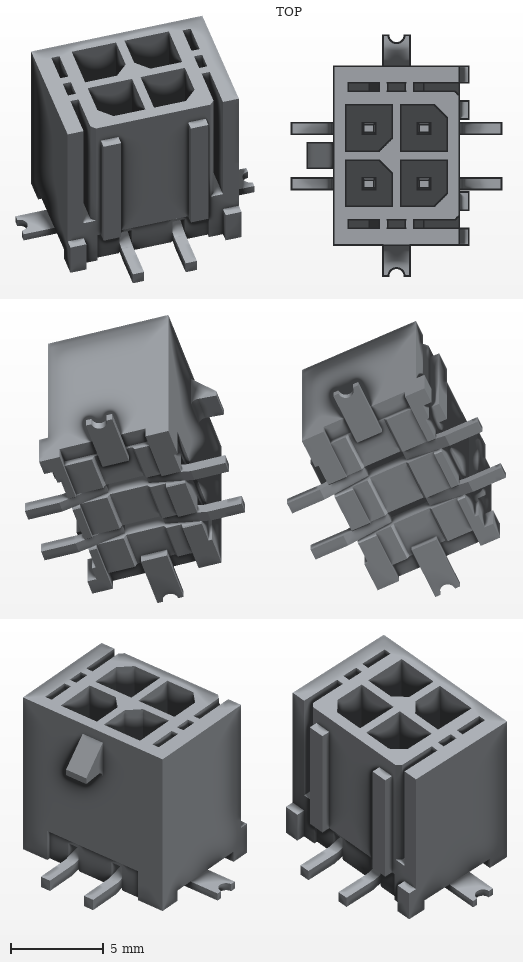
import cadquery as cq
import math


HOUSING_X = 6.83
HOUSING_Y = 9.71
HOUSING_Z = 9.9
FLOOR_Z = 3.0

PITCH = 3.0
POCKET_SIDE = 2.51
POCKET_CHAMFER = 0.71

SLOT_INNER_Y = 3.5
SLOT_WIDTH = 0.46
SLOT_OUTER_Y = SLOT_INNER_Y + SLOT_WIDTH
SIDE_SLOT_START = -2.62
SIDE_SLOT_END = -0.94
MIDDLE_SLOT_LENGTH = 0.95
OPEN_SLOT_START = -SIDE_SLOT_END
CORE_CHAMFER = 0.25

RECESS_WIDTH = 6.31
RECESS_HEIGHT = 1.88
RECESS_DEPTH = 0.21
PAD_REACH = 0.51
PAD_WIDTH = HOUSING_Y / 2 - SLOT_OUTER_Y
RIB_INNER_Y = 1.98
RIB_OUTER_Y = 2.97
RIB_TOP_Z = 8.91

NOTCH_START_X = -2.12
NOTCH_END_X = 2.76
NOTCH_HEIGHT = 0.67
CAVITY_HEIGHT = 0.27
CHANNEL_TOP_Z = 0.5
CHANNEL_TOP_WIDTH = 2.15
CHANNEL_MOUTH_WIDTH = 2.43
TUNNEL_WIDTH = 0.71
TUNNEL_HEIGHT = 1.52
TUNNEL_CHAMFER = 0.07

LATCH_WIDTH = 1.4
LATCH_REACH = 1.44
LATCH_TOP_Z = 9.25
LATCH_NOSE_TOP_Z = 7.67
LATCH_NOSE_BOTTOM_Z = 7.3
LATCH_ROOT_Z = 7.4
LATCH_FILLET = 0.37

PIN_WIDTH = 0.64
POST_THICKNESS = 0.72
TAIL_THICKNESS = 0.67
PIN_SHIFT_Y = -(TUNNEL_WIDTH - PIN_WIDTH) / 2
TAIL_SPAN_X = 11.4
TAIL_END_X = TAIL_SPAN_X / 2
RAMP_TOP_START_X = 3.55
RAMP_BOTTOM_START_X = 3.75
RAMP_ANGLE = 14.5
PIN_TOP_Z = 7.33
TIP_HEIGHT = 0.59
TIP_INSET_X = 0.09
TIP_INSET_Y = 0.12

NAIL_THICKNESS = SLOT_WIDTH
NAIL_FOOT_WIDTH = 1.49
NAIL_END_Y = 6.55
NAIL_HOLE_RADIUS = 0.43
NAIL_PLATE_WIDTH = 2.98
NAIL_NECK_TOP_Z = 1.52
NAIL_TAPER = (NAIL_PLATE_WIDTH - NAIL_FOOT_WIDTH) / 2


def block(x0, x1, y0, y1, z0, z1):
    """Axis-aligned block between two opposite corners."""
    return cq.Workplane("XY").box(x1 - x0, y1 - y0, z1 - z0, centered=False).translate((x0, y0, z0))


def mirrored_y(shape):
    """The shape together with its mirror image across the XZ plane."""
    return shape.union(shape.mirror("XZ"))


def pocket(side_x, side_y):
    """Contact pocket keyed at one +X corner: inward in the left column, outward in the right."""
    half = POCKET_SIDE / 2
    key_y = side_x * side_y
    outline = [
        (-half, -half * key_y),
        (half, -half * key_y),
        (half, (half - POCKET_CHAMFER) * key_y),
        (half - POCKET_CHAMFER, half * key_y),
        (-half, half * key_y),
    ]
    return (
        cq.Workplane("XY")
        .polyline(outline)
        .close()
        .extrude(HOUSING_Z - FLOOR_Z)
        .translate((side_x * PITCH / 2, side_y * PITCH / 2, FLOOR_Z))
    )


def wall_slots():
    """Three slots on the +Y side, the last one open to the +X face beside a chamfered corner."""
    face_x = HOUSING_X / 2
    spans = [
        (SIDE_SLOT_START, SIDE_SLOT_END),
        (-MIDDLE_SLOT_LENGTH / 2, MIDDLE_SLOT_LENGTH / 2),
        (OPEN_SLOT_START, face_x),
    ]
    slots = (
        cq.Workplane("XY")
        .workplane(offset=FLOOR_Z)
        .moveTo(face_x, SLOT_INNER_Y)
        .lineTo(face_x - CORE_CHAMFER, SLOT_INNER_Y)
        .lineTo(face_x, SLOT_INNER_Y - CORE_CHAMFER)
        .close()
        .extrude(HOUSING_Z - FLOOR_Z)
    )
    for x0, x1 in spans:
        slots = slots.union(block(x0, x1, SLOT_INNER_Y, SLOT_OUTER_Y, FLOOR_Z, HOUSING_Z))
    return slots


def pads_and_ribs():
    """Foot pad and guide rib on the +Y half of the +X face."""
    x0 = HOUSING_X / 2
    x1 = x0 + PAD_REACH
    pad = block(x0, x1, HOUSING_Y / 2 - PAD_WIDTH, HOUSING_Y / 2, 0, RECESS_HEIGHT)
    rib = block(x0, x1, RIB_INNER_Y, RIB_OUTER_Y, RECESS_HEIGHT, RIB_TOP_Z)
    return pad.union(rib)


def latch():
    """Ramped latch on the -X face, with a concave fillet under its root."""
    face_x = -HOUSING_X / 2
    nose_x = face_x - LATCH_REACH
    diagonal = LATCH_FILLET * (1 - math.sqrt(0.5))
    return (
        cq.Workplane("XZ")
        .moveTo(face_x, LATCH_TOP_Z)
        .lineTo(nose_x, LATCH_NOSE_TOP_Z)
        .lineTo(nose_x, LATCH_NOSE_BOTTOM_Z)
        .lineTo(face_x - LATCH_FILLET, LATCH_ROOT_Z)
        .threePointArc(
            (face_x - diagonal, LATCH_ROOT_Z - diagonal),
            (face_x, LATCH_ROOT_Z - LATCH_FILLET),
        )
        .close()
        .extrude(LATCH_WIDTH / 2, both=True)
    )


def underside_cavity():
    """Shallow cavity along Y with a raised trapezoidal channel in its middle."""
    return (
        cq.Workplane("XZ")
        .polyline([
            (NOTCH_START_X, 0),
            (NOTCH_START_X, CAVITY_HEIGHT),
            (-CHANNEL_MOUTH_WIDTH / 2, CAVITY_HEIGHT),
            (-CHANNEL_TOP_WIDTH / 2, CHANNEL_TOP_Z),
            (CHANNEL_TOP_WIDTH / 2, CHANNEL_TOP_Z),
            (CHANNEL_MOUTH_WIDTH / 2, CAVITY_HEIGHT),
            (NOTCH_END_X, CAVITY_HEIGHT),
            (NOTCH_END_X, 0),
        ])
        .close()
        .extrude(HOUSING_Y / 2, both=True)
    )


def contact_tunnel():
    """Tunnel along X for one row of contact tails, chamfered at its open bottom edges."""
    half = TUNNEL_WIDTH / 2
    return (
        cq.Workplane("YZ")
        .polyline([
            (-half - TUNNEL_CHAMFER, 0),
            (-half, TUNNEL_CHAMFER),
            (-half, TUNNEL_HEIGHT),
            (half, TUNNEL_HEIGHT),
            (half, TUNNEL_CHAMFER),
            (half + TUNNEL_CHAMFER, 0),
        ])
        .close()
        .extrude(HOUSING_X / 2, both=True)
    )


def make_housing():
    """Housing before the openings that hold contacts and nails are cut."""
    half_x = HOUSING_X / 2
    half_y = HOUSING_Y / 2
    body = block(-half_x, half_x, -half_y, half_y, 0, HOUSING_Z)
    for side in (-1, 1):
        recess = block(-RECESS_DEPTH, RECESS_DEPTH, -RECESS_WIDTH / 2, RECESS_WIDTH / 2, 0, RECESS_HEIGHT)
        body = body.cut(recess.translate((side * half_x, 0, 0)))
        body = body.cut(contact_tunnel().translate((0, side * PITCH / 2, 0)))
    body = body.union(latch()).union(mirrored_y(pads_and_ribs()))
    body = body.cut(underside_cavity()).cut(mirrored_y(wall_slots()))
    body = body.cut(mirrored_y(block(NOTCH_START_X, NOTCH_END_X, SLOT_OUTER_Y, half_y, 0, NOTCH_HEIGHT)))
    for side_x in (-1, 1):
        for side_y in (-1, 1):
            body = body.cut(pocket(side_x, side_y))
    return body


def make_contact(side_x, side_y):
    """Bent contact: flat tail on the board, a rising ramp, and an upright post with a tapered tip."""
    post_outer = PITCH / 2 + POST_THICKNESS / 2
    post_inner = post_outer - POST_THICKNESS
    slope = math.tan(math.radians(RAMP_ANGLE))
    shank = (
        cq.Workplane("XZ")
        .polyline([
            (TAIL_END_X, 0),
            (TAIL_END_X, TAIL_THICKNESS),
            (RAMP_TOP_START_X, TAIL_THICKNESS),
            (post_outer, TAIL_THICKNESS + (RAMP_TOP_START_X - post_outer) * slope),
            (post_outer, PIN_TOP_Z - TIP_HEIGHT),
            (post_inner, PIN_TOP_Z - TIP_HEIGHT),
            (post_inner, (RAMP_BOTTOM_START_X - post_inner) * slope),
            (RAMP_BOTTOM_START_X, 0),
        ])
        .close()
        .extrude(PIN_WIDTH / 2, both=True)
    )
    tip = (
        cq.Workplane("XY")
        .workplane(offset=PIN_TOP_Z - TIP_HEIGHT)
        .center(PITCH / 2, 0)
        .rect(POST_THICKNESS, PIN_WIDTH)
        .workplane(offset=TIP_HEIGHT)
        .rect(POST_THICKNESS - 2 * TIP_INSET_X, PIN_WIDTH - 2 * TIP_INSET_Y)
        .loft(ruled=True)
    )
    contact = shank.union(tip)
    if side_x < 0:
        contact = contact.mirror("YZ")
    return contact.translate((0, side_y * PITCH / 2 + PIN_SHIFT_Y, 0))


def make_nail(side_y):
    """Solder nail: flat foot with a half-round end notch, and an upright plate with a tapered top."""
    half_foot = NAIL_FOOT_WIDTH / 2
    foot = block(-half_foot, half_foot, SLOT_INNER_Y, NAIL_END_Y, 0, NAIL_THICKNESS)
    hole = cq.Workplane("XY").center(0, NAIL_END_Y).circle(NAIL_HOLE_RADIUS).extrude(NAIL_THICKNESS)
    neck = block(-half_foot, half_foot, SLOT_INNER_Y, SLOT_OUTER_Y, 0, NAIL_NECK_TOP_Z)
    plate = (
        cq.Workplane("XZ", origin=(0, SLOT_OUTER_Y, 0))
        .polyline([
            (-NAIL_PLATE_WIDTH / 2, NAIL_NECK_TOP_Z),
            (NAIL_PLATE_WIDTH / 2, NAIL_NECK_TOP_Z),
            (NAIL_PLATE_WIDTH / 2, FLOOR_Z),
            (half_foot, FLOOR_Z + NAIL_TAPER),
            (-half_foot, FLOOR_Z + NAIL_TAPER),
            (-NAIL_PLATE_WIDTH / 2, FLOOR_Z),
        ])
        .close()
        .extrude(NAIL_THICKNESS)
    )
    nail = foot.cut(hole).union(neck).union(plate)
    return nail if side_y > 0 else nail.mirror("XZ")


contacts = [make_contact(side_x, side_y) for side_x in (-1, 1) for side_y in (-1, 1)]
nails = [make_nail(side_y) for side_y in (-1, 1)]

housing = make_housing()
for insert in contacts + nails:
    housing = housing.cut(insert)

result = cq.Compound.makeCompound([
    housing.solids().val(),
    *[contact.solids().val() for contact in contacts],
    *[nail.solids().val() for nail in nails],
])